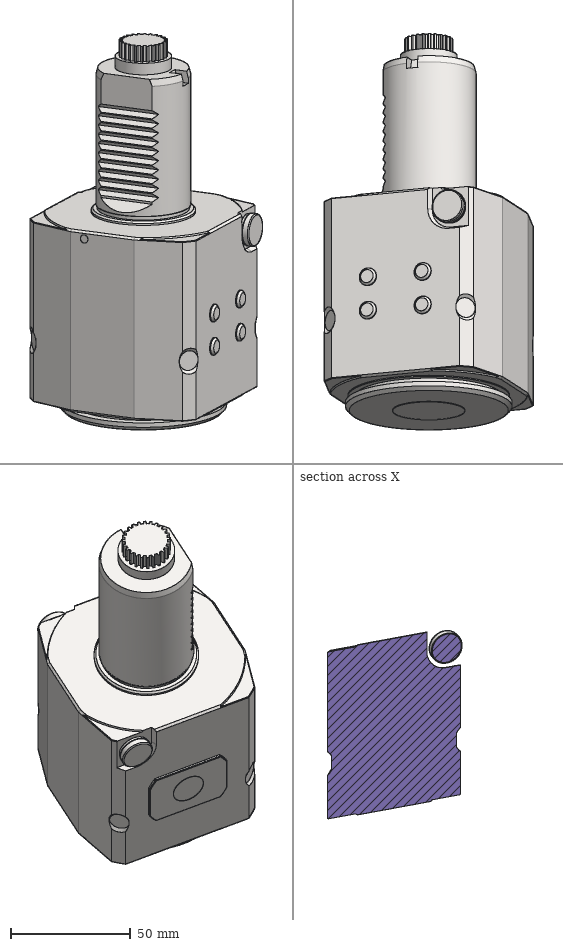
import cadquery as cq
import math

COVER_BOSS_TOP = 0.3
COVER_TOP = 3.9
BODY_BOTTOM = 6.8
BODY_TOP = 86.3
FLANGE_TOP = 87.9
NECK_TOP = 89.5
SHANK_TOP = 149.1
COLLAR_TOP = 154.0
SPLINE_TOP = 161.0

BODY_WIDTH = 78.0
BODY_HALF = BODY_WIDTH / 2
FLAT_HALF = 14.8
SLOPE_ANGLE = 15
SLOPE_DROP = (BODY_HALF - FLAT_HALF) * math.tan(math.radians(SLOPE_ANGLE))
CORNER_RADIUS = 48.5
EDGE_CHAMFER = 1.0
LIP_RADIUS = math.hypot(BODY_HALF, FLAT_HALF)
LIP_TAPER = 0.3
LIP_HEIGHT = 0.6

COVER_NECK_DIA = 62.0
COVER_DIA = 70.0
COVER_BOSS_DIA = 30.5
COVER_CHAMFER = 1.6
COVER_STEP_DIA = 68.0
COVER_STEP_HEIGHT = 0.5

FLANGE_DIA = 44.0
FLANGE_CHAMFER = 0.8
NECK_DIA = 39.0
SHANK_DIA = 40.0
SHANK_CHAMFER_WIDTH = 0.8
SHANK_CHAMFER_HEIGHT = 2.9
FLAT_DEPTH_Y = 16.0
RAMP_TOP = 94.8
GROOVE_DEPTH = 1.8
GROOVE_COUNT = 10
GROOVE_PITCH = 4.0
TOP_GROOVE_Z = 133.8

SLOT_WIDTH = 5.0
SLOT_FLOOR = 144.0
SLOT_INNER_TOP = 13.5
SLOT_INNER_FLOOR = 15.3

COLLAR_DIA = 23.8
SPLINE_DIA = 20.3
SPLINE_ROOT_DIA = 17.9
TOOTH_COUNT = 24
TOOTH_ROOT_WIDTH = 1.5
TOOTH_TIP_WIDTH = 0.8
TOOTH_OVERLAP = 0.3

BUTTON_Y = 24.0
BUTTON_Z = 77.1
BUTTON_DIA = 14.0
BUTTON_NECK_DIA = 13.4
BUTTON_CHAMFER = 0.5
BUTTON_HEAD_START = 37.8
BUTTON_SPAN = 81.6
BUTTON_FACE = BUTTON_SPAN / 2
POCKET_FLOOR = 36.5
POCKET_FLOOR_RADIUS = 8.4
POCKET_MOUTH_RADIUS = 9.5

PLATE_Z = 42.7
PLATE_LENGTH = 36.4
PLATE_HEIGHT = 26.1
PLATE_THICKNESS = 1.1
PLATE_CORNER_DIA = 40.0
PLATE_CHAMFER = 0.3
PLATE_RECESS_DIA = 14.0
PLATE_RECESS_DEPTH = 0.2
SCREW_DIA = 7.5
SCREW_HEIGHT = 1.5
SCREW_CHAMFER = 1.0
SCREW_SPACING_Y = 24.6
SCREW_SPACING_Z = 14.5

SEAT_Z = 33.3
SEAT_ANGLE = 40
SEAT_FLOOR_DIA = 8.5
SEAT_MOUTH_DIA = 11.3
SEAT_FLOOR_RADIUS = 47.3

PORT_X = -8.5
PORT_Z = 82.9
PORT_DIA = 3.5
PORT_DEPTH = 0.2

CUT_MARGIN = 8.0


def disc(diameter, bottom, top):
    """Solid cylinder on the Z axis between two levels."""
    return cq.Workplane("XY").workplane(offset=bottom).circle(diameter / 2).extrude(top - bottom)


def make_body():
    shoulder = BODY_HALF - SLOPE_DROP
    height = BODY_TOP - BODY_BOTTOM
    outline = [
        (-BODY_HALF, -shoulder),
        (-FLAT_HALF, -BODY_HALF),
        (FLAT_HALF, -BODY_HALF),
        (BODY_HALF, -shoulder),
        (BODY_HALF, shoulder),
        (FLAT_HALF, BODY_HALF),
        (-FLAT_HALF, BODY_HALF),
        (-BODY_HALF, shoulder),
    ]
    block = cq.Workplane("XY").workplane(offset=BODY_BOTTOM).polyline(outline).close().extrude(height)
    block = block.intersect(disc(2 * CORNER_RADIUS, BODY_BOTTOM, BODY_TOP))
    block = block.faces("|Z").edges().chamfer(EDGE_CHAMFER)
    return block.intersect(make_lip_envelope())


def make_lip_envelope():
    """Turned envelope that lowers the corners around a round lip on both end faces."""
    return (
        cq.Workplane("XZ")
        .moveTo(0, BODY_BOTTOM)
        .lineTo(LIP_RADIUS - LIP_TAPER, BODY_BOTTOM)
        .lineTo(LIP_RADIUS, BODY_BOTTOM + LIP_HEIGHT)
        .lineTo(CORNER_RADIUS, BODY_BOTTOM + LIP_HEIGHT)
        .lineTo(CORNER_RADIUS, BODY_TOP - LIP_HEIGHT)
        .lineTo(LIP_RADIUS, BODY_TOP - LIP_HEIGHT)
        .lineTo(LIP_RADIUS - LIP_TAPER, BODY_TOP)
        .lineTo(0, BODY_TOP)
        .close()
        .revolve(360, (0, 0, 0), (0, 1, 0))
    )


def make_base_cover():
    boss = disc(COVER_BOSS_DIA, 0, COVER_TOP)
    plate = disc(COVER_DIA, COVER_BOSS_TOP, COVER_TOP).faces("<Z").edges().chamfer(COVER_CHAMFER)
    neck = disc(COVER_NECK_DIA, COVER_TOP, BODY_BOTTOM)
    step = disc(COVER_STEP_DIA, BODY_BOTTOM - COVER_STEP_HEIGHT, BODY_BOTTOM)
    return boss.union(plate).union(neck).union(step)


def make_shank():
    flange = disc(FLANGE_DIA, BODY_TOP, FLANGE_TOP).faces(">Z").edges().chamfer(FLANGE_CHAMFER)
    neck = disc(NECK_DIA, FLANGE_TOP, NECK_TOP)
    barrel = (
        disc(SHANK_DIA, NECK_TOP, SHANK_TOP)
        .faces(">Z").edges().chamfer(SHANK_CHAMFER_HEIGHT, SHANK_CHAMFER_WIDTH)
    )
    barrel = barrel.cut(make_toothed_flat()).cut(make_key_slot())
    return flange.union(neck).union(barrel)


def make_toothed_flat():
    """Cutter for the -Y flat, its 45 degree run-out and the V grooves across it."""
    outer = SHANK_DIA / 2 + CUT_MARGIN
    run_out = outer - FLAT_DEPTH_Y
    side = cq.Workplane("YZ")
    cutter = (
        side.polyline([
            (-FLAT_DEPTH_Y, SHANK_TOP),
            (-FLAT_DEPTH_Y, RAMP_TOP),
            (-outer, RAMP_TOP - run_out),
            (-outer, SHANK_TOP),
        ])
        .close().extrude(SHANK_DIA / 2, both=True)
    )
    for index in range(GROOVE_COUNT):
        z = TOP_GROOVE_Z - index * GROOVE_PITCH
        groove = (
            side.polyline([
                (-FLAT_DEPTH_Y, z + GROOVE_DEPTH),
                (-FLAT_DEPTH_Y + GROOVE_DEPTH, z),
                (-FLAT_DEPTH_Y, z - GROOVE_DEPTH),
            ])
            .close().extrude(SHANK_DIA / 2, both=True)
        )
        cutter = cutter.union(groove)
    return cutter


def make_key_slot():
    """Cutter for the slot, which has a sloping inner end."""
    outer = SHANK_DIA / 2 + CUT_MARGIN
    return (
        cq.Workplane("XZ")
        .polyline([
            (SLOT_INNER_TOP, SHANK_TOP),
            (SLOT_INNER_FLOOR, SLOT_FLOOR),
            (outer, SLOT_FLOOR),
            (outer, SHANK_TOP),
        ])
        .close().extrude(SLOT_WIDTH / 2, both=True)
    )


def make_spline():
    """Collar and splined end, with a tooth gap centred on each axis."""
    collar = disc(COLLAR_DIA, SHANK_TOP, COLLAR_TOP)
    length = SPLINE_TOP - COLLAR_TOP
    spline = disc(SPLINE_ROOT_DIA, COLLAR_TOP, SPLINE_TOP)
    inner = SPLINE_ROOT_DIA / 2 - TOOTH_OVERLAP
    tip = SPLINE_DIA / 2
    for index in range(TOOTH_COUNT):
        tooth = (
            cq.Workplane("XY", origin=(0, 0, COLLAR_TOP))
            .polyline([
                (inner, -TOOTH_ROOT_WIDTH / 2),
                (tip, -TOOTH_TIP_WIDTH / 2),
                (tip, TOOTH_TIP_WIDTH / 2),
                (inner, TOOTH_ROOT_WIDTH / 2),
            ])
            .close().extrude(length)
            .rotate((0, 0, 0), (0, 0, 1), (index + 0.5) * 360 / TOOTH_COUNT)
        )
        spline = spline.union(tooth)
    return collar.union(spline)


def side_plane(side, distance):
    """Plane facing outward on the +X (side = 1) or -X (side = -1) side; its local y is Z."""
    return cq.Workplane(cq.Plane(origin=(side * distance, 0, 0), xDir=(0, side, 0), normal=(side, 0, 0)))


def pocket_outline(plane, side, radius):
    """Corner outline open upward and toward +Y, rounded around the button centre."""
    y_centre = side * BUTTON_Y
    y_inner = side * (BUTTON_Y - radius)
    y_outer = side * (BODY_HALF + CUT_MARGIN)
    z_top = BODY_TOP + CUT_MARGIN
    diagonal = radius * math.sqrt(0.5)
    return (
        plane.moveTo(y_outer, BUTTON_Z - radius)
        .lineTo(y_centre, BUTTON_Z - radius)
        .threePointArc((y_centre - side * diagonal, BUTTON_Z - diagonal), (y_inner, BUTTON_Z))
        .lineTo(y_inner, z_top)
        .lineTo(y_outer, z_top)
        .close()
    )


def make_button_pocket(side):
    depth = BODY_HALF - POCKET_FLOOR
    floor = pocket_outline(side_plane(side, POCKET_FLOOR), side, POCKET_FLOOR_RADIUS)
    return pocket_outline(floor.workplane(offset=depth), side, POCKET_MOUTH_RADIUS).loft(ruled=True)


def make_button(side):
    neck = (
        side_plane(side, POCKET_FLOOR).center(side * BUTTON_Y, BUTTON_Z)
        .circle(BUTTON_NECK_DIA / 2).extrude(BUTTON_HEAD_START - POCKET_FLOOR)
    )
    head = (
        side_plane(side, BUTTON_HEAD_START).center(side * BUTTON_Y, BUTTON_Z)
        .circle(BUTTON_DIA / 2).extrude(BUTTON_FACE - BUTTON_HEAD_START)
        .faces(">X" if side > 0 else "<X").edges().chamfer(BUTTON_CHAMFER)
    )
    return neck.union(head)


def make_side_plate():
    plane = side_plane(-1, BODY_HALF).center(0, PLATE_Z)
    rounded = plane.circle(PLATE_CORNER_DIA / 2).extrude(PLATE_THICKNESS)
    plate = plane.rect(PLATE_LENGTH, PLATE_HEIGHT).extrude(PLATE_THICKNESS).intersect(rounded)
    return (
        plate.faces("<X").edges().chamfer(PLATE_CHAMFER)
        .faces("<X").workplane(centerOption="CenterOfBoundBox")
        .hole(PLATE_RECESS_DIA, PLATE_RECESS_DEPTH)
    )


def make_screws():
    return (
        side_plane(1, BODY_HALF).center(0, PLATE_Z)
        .rect(SCREW_SPACING_Y, SCREW_SPACING_Z, forConstruction=True).vertices()
        .circle(SCREW_DIA / 2).extrude(SCREW_HEIGHT)
        .faces(">X").edges().chamfer(SCREW_CHAMFER)
    )


def make_corner_seat(angle):
    """Cone that widens outward from the seat floor, along a radial direction."""
    depth = CORNER_RADIUS - SEAT_FLOOR_RADIUS
    direction = cq.Vector(math.cos(math.radians(angle)), math.sin(math.radians(angle)), 0)
    origin = direction * SEAT_FLOOR_RADIUS + cq.Vector(0, 0, SEAT_Z)
    return (
        cq.Workplane(cq.Plane(origin=origin, xDir=(0, 0, 1), normal=direction))
        .circle(SEAT_FLOOR_DIA / 2)
        .workplane(offset=depth).circle(SEAT_MOUTH_DIA / 2)
        .loft()
    )


def make_port():
    return (
        cq.Workplane("XZ", origin=(PORT_X, -BODY_HALF, PORT_Z))
        .circle(PORT_DIA / 2).extrude(-PORT_DEPTH)
    )


body = make_body().cut(make_port())
for seat_angle in (SEAT_ANGLE, 180 - SEAT_ANGLE, 180 + SEAT_ANGLE, -SEAT_ANGLE):
    body = body.cut(make_corner_seat(seat_angle))
for x_side in (-1, 1):
    body = body.cut(make_button_pocket(x_side)).union(make_button(x_side))
body = body.union(make_side_plate()).union(make_screws())

result = body.union(make_base_cover()).union(make_shank()).union(make_spline())